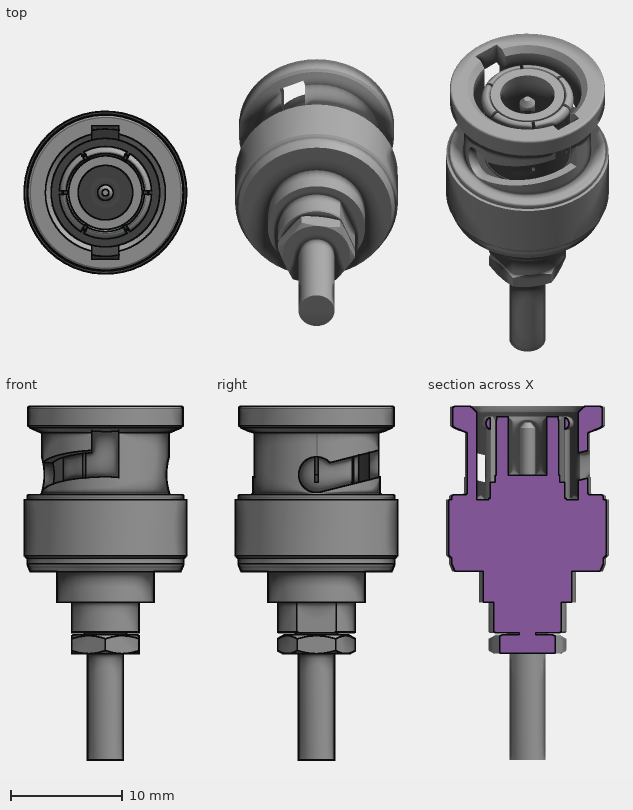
import cadquery as cq
import math


total_length = 31.75

head_radius = 6.97
head_edge_round = 0.2
head_rim_depth = 1.75
head_corner_radius = 6.75
head_corner_depth = 1.95
head_bottom_depth = 2.4
barrel_radius = 5.72
barrel_bore_radius = 4.87
bore_chamfer = 0.52
barrel_cove_radius = 0.16

notch_width = 2.42
notch_reach = 6.0
notch_depth = 6.0
lock_hole_radius = 1.6
lock_hole_depth = 6.14
ramp_slope = 14.2
ramp_width = 2.35

sleeve_top_depth = 7.93
sleeve_body_top_depth = 8.39
sleeve_body_bottom_depth = 13.4
sleeve_bottom_depth = 14.85
sleeve_radius = 7.3
sleeve_rim_radius = 7.04
sleeve_top_round = 0.2
sleeve_bevel_depth = 14.15
sleeve_bevel_break_radius = 6.95
sleeve_bevel_break_depth = 14.4
sleeve_bottom_radius = 6.75

rear_radius = 4.37
rear_bottom_depth = 17.6
across_flats = 6.05
wrench_radius = 3.5
wrench_bottom_depth = 20.33
wrench_chamfer = 0.1
neck_radius = 1.9
nut_top_depth = 20.5
nut_bottom_depth = 22.2
nut_bevel_angle = 30.0
nut_top_face_radius = 2.85
cable_radius = 1.62

contact_top_depth = 0.93
contact_radius = 3.8
contact_tip_radius = 3.64
contact_bulge_radius = 4.14
contact_bulge_depth = 1.5
contact_bulge_bottom_depth = 2.1
contact_mouth_radius = 3.5
contact_mouth_bevel_depth = 0.3
contact_foot_radius = 3.9
contact_foot_height = 0.15
contact_slot_count = 6
contact_slot_width = 0.3
contact_slot_depth = 6.82

insulator_radius = 3.3
insulator_bottom_depth = 6.15
insulator_seat_radius = 3.4
insulator_bore_radius = 2.45
pin_radius = 0.7
pin_tip_radius = 0.3
pin_tip_depth = 1.45
pin_shoulder_depth = 1.95


def cylinder(radius, top_depth, bottom_depth):
    """Solid cylinder on the axis between two depths."""
    return cq.Workplane("XY").workplane(offset=-bottom_depth).circle(radius).extrude(bottom_depth - top_depth)


def revolve(profile):
    """Spin a closed (radius, z) profile about the Z axis."""
    return profile.close().revolve(360, (0, 0, 0), (0, 1, 0))


def coupling_body():
    """Outer shell from the bayonet head down to the end of the rear body."""
    cove_top = sleeve_top_depth - barrel_cove_radius
    cove_mid = barrel_cove_radius * (1 - math.sqrt(0.5))
    sleeve_step = sleeve_radius - sleeve_rim_radius
    profile = (
        cq.Workplane("XZ")
        .moveTo(0, 0)
        .lineTo(head_radius - head_edge_round, 0)
        .radiusArc((head_radius, -head_edge_round), head_edge_round)
        .lineTo(head_radius, -head_rim_depth)
        .lineTo(head_corner_radius, -head_corner_depth)
        .lineTo(barrel_radius, -head_bottom_depth)
        .lineTo(barrel_radius, -cove_top)
        .threePointArc(
            (barrel_radius + cove_mid, -sleeve_top_depth + cove_mid),
            (barrel_radius + barrel_cove_radius, -sleeve_top_depth),
        )
        .lineTo(sleeve_rim_radius - sleeve_top_round, -sleeve_top_depth)
        .radiusArc((sleeve_rim_radius, -sleeve_top_depth - sleeve_top_round), sleeve_top_round)
        .lineTo(sleeve_rim_radius, -sleeve_body_top_depth)
        .lineTo(sleeve_radius, -sleeve_body_top_depth)
        .lineTo(sleeve_radius, -sleeve_body_bottom_depth)
        .lineTo(sleeve_rim_radius, -sleeve_body_bottom_depth - sleeve_step)
        .lineTo(sleeve_rim_radius, -sleeve_bevel_depth)
        .lineTo(sleeve_bevel_break_radius, -sleeve_bevel_break_depth)
        .lineTo(sleeve_bottom_radius, -sleeve_bottom_depth)
        .lineTo(rear_radius, -sleeve_bottom_depth)
        .lineTo(rear_radius, -rear_bottom_depth)
        .lineTo(0, -rear_bottom_depth)
    )
    return revolve(profile)


def barrel_cavity():
    """Mating cavity, bevelled at its mouth."""
    profile = (
        cq.Workplane("XZ")
        .moveTo(0, 0)
        .lineTo(barrel_bore_radius + bore_chamfer, 0)
        .lineTo(barrel_bore_radius, -bore_chamfer)
        .lineTo(barrel_bore_radius, -sleeve_body_top_depth)
        .lineTo(0, -sleeve_body_top_depth)
    )
    return revolve(profile)


def bayonet_slot():
    """Entry notch on -Y, lock hole on -X and the sloping ramp that joins them.

    The ramp spans the full notch width, so its floor is also the floor of the notch.
    """
    notch = (
        cq.Workplane("XY")
        .workplane(offset=-notch_depth)
        .center(0, -notch_reach / 2)
        .rect(notch_width, notch_reach)
        .extrude(notch_depth)
    )
    lock_hole = (
        cq.Workplane("YZ")
        .center(0, -lock_hole_depth)
        .circle(lock_hole_radius)
        .extrude(-sleeve_radius)
    )
    slope = math.radians(ramp_slope)
    tangent_y = -lock_hole_radius * math.sin(slope)
    tangent_z = -lock_hole_depth - lock_hole_radius * math.cos(slope)
    ramp_end_y = -notch_reach
    ramp_rise = (tangent_y - ramp_end_y) * math.tan(slope)
    ramp_height = ramp_width / math.cos(slope)
    ramp = (
        cq.Workplane("YZ")
        .workplane(offset=notch_width / 2)
        .moveTo(tangent_y, tangent_z)
        .lineTo(ramp_end_y, tangent_z + ramp_rise)
        .lineTo(ramp_end_y, tangent_z + ramp_rise + ramp_height)
        .lineTo(tangent_y, tangent_z + ramp_height)
        .close()
        .extrude(-sleeve_radius)
    )
    return notch.union(lock_hole).union(ramp)


def outer_contact():
    """Contact ring with a bulged tip and bevelled mouth, split by radial slots.

    It stands on a low foot and holds the seat that carries the insulator.
    """
    profile = (
        cq.Workplane("XZ")
        .moveTo(0, -contact_top_depth)
        .lineTo(contact_tip_radius, -contact_top_depth)
        .threePointArc(
            (contact_bulge_radius, -contact_bulge_depth),
            (contact_radius, -contact_bulge_bottom_depth),
        )
        .lineTo(contact_radius, -sleeve_body_top_depth)
        .lineTo(0, -sleeve_body_top_depth)
    )
    contact = revolve(profile)
    slot_height = contact_slot_depth - contact_top_depth
    slot_length = contact_bulge_radius - insulator_radius + contact_slot_width
    slots = (
        cq.Workplane("XY")
        .workplane(offset=-contact_slot_depth)
        .polarArray(insulator_radius + slot_length / 2, 0, 360, contact_slot_count)
        .rect(slot_length, contact_slot_width)
        .extrude(slot_height)
    )
    bore_profile = (
        cq.Workplane("XZ")
        .moveTo(0, -contact_top_depth)
        .lineTo(contact_mouth_radius, -contact_top_depth)
        .lineTo(insulator_radius, -contact_top_depth - contact_mouth_bevel_depth)
        .lineTo(insulator_radius, -insulator_bottom_depth)
        .lineTo(0, -insulator_bottom_depth)
    )
    foot = cylinder(contact_foot_radius, sleeve_body_top_depth - contact_foot_height, sleeve_body_top_depth)
    seat = cylinder(insulator_seat_radius, insulator_bottom_depth, sleeve_body_top_depth)
    return contact.cut(slots).cut(revolve(bore_profile)).union(foot).union(seat)


def insulator_and_pin():
    """Insulator cup with the pointed centre pin standing in it."""
    cup = cylinder(insulator_radius, contact_top_depth, insulator_bottom_depth)
    bore = cylinder(insulator_bore_radius, contact_top_depth, insulator_bottom_depth)
    pin_profile = (
        cq.Workplane("XZ")
        .moveTo(0, -pin_tip_depth)
        .lineTo(pin_tip_radius, -pin_tip_depth)
        .lineTo(pin_radius, -pin_shoulder_depth)
        .lineTo(pin_radius, -sleeve_body_top_depth)
        .lineTo(0, -sleeve_body_top_depth)
    )
    return cup.cut(bore).union(revolve(pin_profile))


def wrench_section():
    """Round section with two flats facing -X and +X."""
    flats = (
        cq.Workplane("XY")
        .workplane(offset=-wrench_bottom_depth)
        .rect(across_flats, 2 * wrench_radius)
        .extrude(wrench_bottom_depth - rear_bottom_depth)
    )
    section = cylinder(wrench_radius, rear_bottom_depth, wrench_bottom_depth)
    return section.faces("<Z").chamfer(wrench_chamfer).intersect(flats)


def clamping_nut():
    """Hexagon nut with corners on the Y axis, bevelled on both faces."""
    corner_radius = across_flats / math.sqrt(3)
    flat_radius = across_flats / 2
    bevel_slope = math.tan(math.radians(nut_bevel_angle))
    top_drop = (corner_radius - nut_top_face_radius) * bevel_slope
    bottom_drop = (corner_radius - flat_radius) * bevel_slope
    hexagon = (
        cq.Workplane("XY")
        .workplane(offset=-nut_bottom_depth)
        .transformed(rotate=(0, 0, 90))
        .polygon(6, 2 * corner_radius)
        .extrude(nut_bottom_depth - nut_top_depth)
    )
    envelope = (
        cq.Workplane("XZ")
        .moveTo(0, -nut_top_depth)
        .lineTo(nut_top_face_radius, -nut_top_depth)
        .lineTo(corner_radius, -nut_top_depth - top_drop)
        .lineTo(corner_radius, -nut_bottom_depth + bottom_drop)
        .lineTo(flat_radius, -nut_bottom_depth)
        .lineTo(0, -nut_bottom_depth)
    )
    return hexagon.intersect(revolve(envelope))


result = coupling_body().cut(barrel_cavity())
for turn in (0, 180):
    result = result.cut(bayonet_slot().rotate((0, 0, 0), (0, 0, 1), turn))
result = (
    result.union(outer_contact())
    .union(insulator_and_pin())
    .union(wrench_section())
    .union(cylinder(neck_radius, rear_bottom_depth, nut_bottom_depth))
    .union(clamping_nut())
    .union(cylinder(cable_radius, rear_bottom_depth, total_length))
)